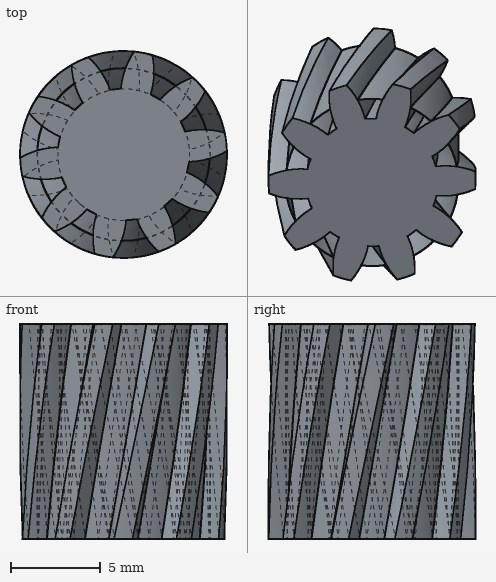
import cadquery as cq
import math

height = 12.0
tooth_count = 10
twist = 25.2
pitch_angle = 360.0 / tooth_count
top_gap_angle = 97.0

tip_radius = 5.77
sleeve_radius = 4.82
root_radius = 3.67
gap_half_at_tip = 12.9
gap_half_at_sleeve = 8.4
gap_half_at_root = 4.7

sleeve_wall = 0.02


def polar(radius, degrees):
    angle = math.radians(degrees)
    return radius * math.cos(angle), radius * math.sin(angle)


def gear_outline(first_gap_angle):
    """Closed gear profile, going anticlockwise gap by gap."""
    outline = cq.Workplane("XY").moveTo(*polar(tip_radius, first_gap_angle - gap_half_at_tip))
    for index in range(tooth_count):
        gap = first_gap_angle + index * pitch_angle
        next_gap = gap + pitch_angle
        outline = (
            outline
            .threePointArc(
                polar(sleeve_radius, gap - gap_half_at_sleeve),
                polar(root_radius, gap - gap_half_at_root),
            )
            .threePointArc(polar(root_radius, gap), polar(root_radius, gap + gap_half_at_root))
            .threePointArc(
                polar(sleeve_radius, gap + gap_half_at_sleeve),
                polar(tip_radius, gap + gap_half_at_tip),
            )
            .threePointArc(
                polar(tip_radius, gap + pitch_angle / 2),
                polar(tip_radius, next_gap - gap_half_at_tip),
            )
        )
    return outline.close()


gear = gear_outline(top_gap_angle - twist).twistExtrude(height, twist)
sleeve = (
    cq.Workplane("XY")
    .circle(sleeve_radius)
    .circle(sleeve_radius - sleeve_wall)
    .extrude(height)
)

result = gear.union(sleeve)